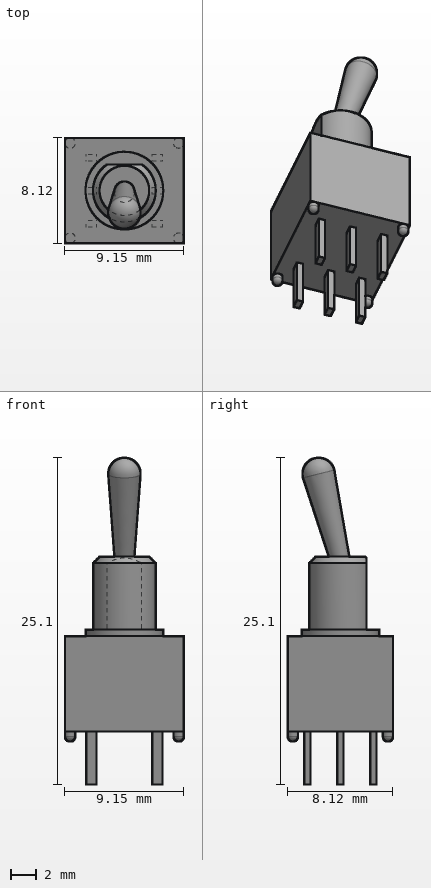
import cadquery as cq
import math

body_length = 9.15
body_width = 8.12
body_height = 7.35

pin_length = 4.07
pin_size_x = 0.8
pin_size_y = 0.5
pin_pitch_x = 5.08
pin_pitch_y = 2.55

standoff_radius = 0.4
standoff_straight = 0.38

flange_radius = 3.0
flange_height = 0.5
bushing_radius = 2.41
bushing_height = 5.6
bushing_chamfer = 0.5
bushing_flat_offset = 2.0

overall_height = 25.15
lever_tilt = 14.0
lever_root_radius = 0.75
ball_radius = 1.25
pivot_depth = 0.35

body_bottom = pin_length
body_top = body_bottom + body_height
flange_top = body_top + flange_height
bushing_top = flange_top + bushing_height
pivot_height = bushing_top - pivot_depth
ball_center_height = overall_height - ball_radius
lever_length = (ball_center_height - pivot_height) / math.cos(math.radians(lever_tilt))


def make_body():
    return (
        cq.Workplane("XY", origin=(0, 0, body_bottom))
        .box(body_length, body_width, body_height, centered=(True, True, False))
    )


def make_pins():
    return (
        cq.Workplane("XY")
        .rarray(pin_pitch_x, pin_pitch_y, 2, 3)
        .rect(pin_size_x, pin_size_y)
        .extrude(pin_length)
    )


def make_standoffs():
    spacing_x = body_length - 2 * standoff_radius
    spacing_y = body_width - 2 * standoff_radius
    corners = (
        cq.Workplane("XY", origin=(0, 0, body_bottom - standoff_straight))
        .rarray(spacing_x, spacing_y, 2, 2)
    )
    posts = corners.circle(standoff_radius).extrude(standoff_straight)
    tips = corners.sphere(standoff_radius)
    return posts.union(tips)


def make_flange():
    return cq.Workplane("XY", origin=(0, 0, body_top)).circle(flange_radius).extrude(flange_height)


def make_bushing():
    bushing = (
        cq.Workplane("XY", origin=(0, 0, flange_top))
        .circle(bushing_radius)
        .extrude(bushing_height)
        .faces(">Z")
        .chamfer(bushing_chamfer)
    )
    flat_cutter = (
        cq.Workplane("XY", origin=(0, bushing_flat_offset, flange_top))
        .box(2 * bushing_radius, bushing_radius, bushing_height, centered=(True, False, False))
    )
    return bushing.cut(flat_cutter)


def make_lever():
    half_ball = ball_radius * math.sqrt(0.5)
    lever = (
        cq.Workplane("XZ")
        .lineTo(lever_root_radius, 0)
        .lineTo(ball_radius, lever_length)
        .threePointArc((half_ball, lever_length + half_ball), (0, lever_length + ball_radius))
        .close()
        .revolve(360, (0, 0, 0), (0, 1, 0))
    )
    return lever.rotate((0, 0, 0), (1, 0, 0), lever_tilt).translate((0, 0, pivot_height))


result = (
    make_body()
    .union(make_pins())
    .union(make_standoffs())
    .union(make_flange())
    .union(make_bushing())
    .union(make_lever())
)